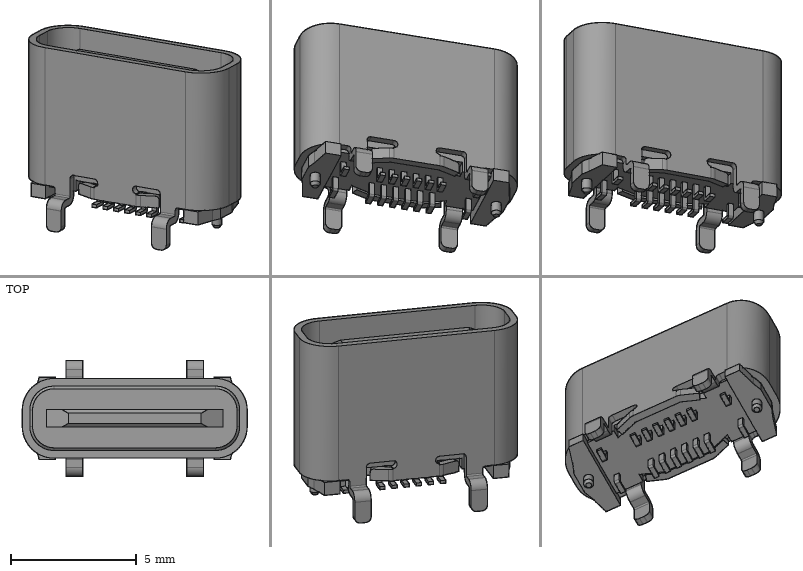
import cadquery as cq
import math


shell_length = 8.94
shell_width = 3.165
shell_top = 5.73
shell_corner_radius = 1.26
sheet = 0.3
inner_length = shell_length - 2 * sheet
inner_width = shell_width - 2 * sheet
inner_corner_radius = shell_corner_radius - sheet
outer_y = shell_width / 2
inner_y = inner_width / 2

leg_inner_x = 2.06
leg_outer_x = 2.74
leg_width = leg_outer_x - leg_inner_x
leg_span = 4.6
leg_tip_y = leg_span / 2
leg_tip_z = -1.62
leg_tip_radius = 0.24
leg_shelf_top = -0.35
leg_bend_inner = 0.05
leg_bend_outer = leg_bend_inner + sheet
leg_root_radius = 0.13

panel_half = 0.96
panel_bottom = -0.24
window_top = 0.61
window_radius = 0.16
window_bottom = window_top - 2 * window_radius
flap_top = 0.24
flap_end_x = 1.83
flap_angle = math.radians(20)
flap_bend_inner = 0.215
flap_bend_outer = flap_bend_inner + sheet
flap_corner_radius = 0.14

core_bottom = -0.15
core_top = 0.805
core_chamfer = 0.11
recess_end_x = 1.97
recess_top = 0.3

tongue_length = 6.99
tongue_width = 0.71
tongue_top = 5.26
tongue_end_run = 0.86
tongue_end_drop = 0.5
tongue_side_chamfer = 0.15

foot_bottom = -0.55
foot_inner_x = 3.16
foot_plan = [(foot_inner_x, 1.64), (3.8, 1.64), (4.02, 0.84), (4.17, 0.47)]
post_x = 3.75
post_diameter = 0.4
post_bottom = -1.1
post_chamfer_height = 0.13
post_chamfer_run = 0.09

contact_places = [0.25, 0.75, 1.25, 2.75]
contact_width = 0.215
contact_sheet = 0.13
contact_inner_y = 0.5
contact_tip_y = 1.06
contact_bottom = -0.78
contact_bend_radius = 0.08


def rounded_block(length, width, radius, bottom, top):
    """Upright prism with a rounded rectangular plan."""
    block = cq.Workplane("XY").workplane(offset=bottom).rect(length, width).extrude(top - bottom)
    return block.edges("|Z").fillet(radius)


def in_four_quarters(body):
    """The body and its mirror images in the XZ, YZ and both planes."""
    pair = [body, body.mirror("YZ")]
    return pair + [half.mirror("XZ") for half in pair]


def wall_prism(outline):
    """Extrude an XZ outline through the thickness of the -Y wall."""
    return outline.extrude(sheet).translate((0, -inner_y, 0))


def flap_point(radius, distance):
    """XY point of a bent flap at a bend radius and a distance along the flap past the bend."""
    x = panel_half + radius * math.sin(flap_angle) + distance * math.cos(flap_angle)
    y = -outer_y + flap_bend_outer - radius * math.cos(flap_angle) + distance * math.sin(flap_angle)
    return x, y


def flap_length(radius, end_x):
    """Straight length of a flap surface past its bend that ends at a given x."""
    return (end_x - flap_point(radius, 0)[0]) / math.cos(flap_angle)


def bend_middle(radius):
    """Mid-arc XY point of the flap bend."""
    half_angle = flap_angle / 2
    x = panel_half + radius * math.sin(half_angle)
    return x, -outer_y + flap_bend_outer - radius * math.cos(half_angle)


def make_flap():
    """Flap at the +X end of the -Y panel, with a rounded upper free corner."""
    length = flap_length(flap_bend_outer, flap_end_x)
    flap = (
        cq.Workplane("XY").workplane(offset=panel_bottom)
        .moveTo(panel_half, -outer_y)
        .threePointArc(bend_middle(flap_bend_outer), flap_point(flap_bend_outer, 0))
        .lineTo(*flap_point(flap_bend_outer, length))
        .lineTo(*flap_point(flap_bend_inner, length))
        .lineTo(*flap_point(flap_bend_inner, 0))
        .threePointArc(bend_middle(flap_bend_inner), (panel_half, -inner_y))
        .close()
        .extrude(flap_top - panel_bottom)
    )
    return flap.faces(">X").edges(">Z").fillet(flap_corner_radius)


def make_flap_recess():
    """Room in the housing core behind and beyond one flap."""
    length = flap_length(flap_bend_inner, recess_end_x)
    return (
        cq.Workplane("XY").workplane(offset=core_bottom)
        .moveTo(panel_half, -inner_y)
        .threePointArc(bend_middle(flap_bend_inner), flap_point(flap_bend_inner, 0))
        .lineTo(*flap_point(flap_bend_inner, length))
        .lineTo(recess_end_x, -outer_y)
        .lineTo(panel_half, -outer_y)
        .close()
        .extrude(recess_top - core_bottom)
    )


def make_window():
    """Opening in the -Y wall between a leg and the panel, with a round relief above the flap."""
    corner = window_radius * (1 - math.sqrt(0.5))
    outline = (
        cq.Workplane("XZ")
        .moveTo(leg_inner_x, 0)
        .lineTo(leg_inner_x, window_top - window_radius)
        .threePointArc((leg_inner_x - corner, window_top - corner), (leg_inner_x - window_radius, window_top))
        .lineTo(panel_half, window_top)
        .threePointArc((panel_half - window_radius, window_top - window_radius), (panel_half, window_bottom))
        .lineTo(panel_half, 0)
        .close()
    )
    return wall_prism(outline)


def make_leg():
    """Leg of the -Y wall: down, out along a shelf and down again, with a rounded tip."""
    shelf_bottom = leg_shelf_top - sheet
    root_z = leg_shelf_top + leg_bend_inner
    knee_z = shelf_bottom - leg_bend_inner
    leg_inner_face = leg_tip_y - sheet
    leg = (
        cq.Workplane("YZ").workplane(offset=leg_inner_x)
        .moveTo(-outer_y, 0)
        .lineTo(-outer_y, root_z)
        .tangentArcPoint((-outer_y - leg_bend_inner, leg_shelf_top), relative=False)
        .lineTo(-leg_tip_y + leg_bend_outer, leg_shelf_top)
        .tangentArcPoint((-leg_tip_y, knee_z), relative=False)
        .lineTo(-leg_tip_y, leg_tip_z)
        .lineTo(-leg_inner_face, leg_tip_z)
        .lineTo(-leg_inner_face, knee_z)
        .tangentArcPoint((-leg_inner_face + leg_bend_inner, shelf_bottom), relative=False)
        .lineTo(-inner_y - leg_bend_outer, shelf_bottom)
        .tangentArcPoint((-inner_y, root_z), relative=False)
        .lineTo(-inner_y, 0)
        .close()
        .extrude(leg_width)
    )
    return leg.faces("<Z").edges("|Y").fillet(leg_tip_radius)


def make_leg_root():
    """Concave rounding between the shell rim and the outer side of a leg."""
    corner = leg_root_radius * (1 - math.sqrt(0.5))
    outline = (
        cq.Workplane("XZ")
        .moveTo(leg_outer_x, 0)
        .lineTo(leg_outer_x + leg_root_radius, 0)
        .threePointArc((leg_outer_x + corner, -corner), (leg_outer_x, -leg_root_radius))
        .close()
    )
    return wall_prism(outline)


def make_panel():
    """Part of the -Y wall that hangs below the shell rim between the two flaps."""
    return wall_prism(cq.Workplane("XZ").rect(2 * panel_half, -2 * panel_bottom))


def make_shell():
    """Sheet metal shell with its legs, panels and flaps, as one body."""
    shell = rounded_block(shell_length, shell_width, shell_corner_radius, 0, shell_top)
    shell = shell.cut(rounded_block(inner_length, inner_width, inner_corner_radius, 0, shell_top))
    for window in in_four_quarters(make_window()):
        shell = shell.cut(window)
    for panel in (make_panel(), make_panel().mirror("XZ")):
        shell = shell.union(panel)
    for piece in (make_leg(), make_leg_root(), make_flap()):
        for copy in in_four_quarters(piece):
            shell = shell.union(copy)
    return shell


def make_core():
    """Block in the lower end of the shell, with a plate between the feet and a recess for each flap."""
    core = rounded_block(inner_length, inner_width, inner_corner_radius, 0, core_top)
    core = core.faces(">Z").chamfer(core_chamfer)
    plate = cq.Workplane("XY").rect(2 * foot_inner_x, inner_width).extrude(core_bottom)
    core = core.union(plate)
    for recess in in_four_quarters(make_flap_recess()):
        core = core.cut(recess)
    return core


def tapered_blade(plane, length, run, drop, depth):
    """Blade profile with both upper corners cut off, extruded both ways from a plane."""
    half = length / 2
    corners = [
        (-half, core_top),
        (half, core_top),
        (half, tongue_top - drop),
        (half - run, tongue_top),
        (-half + run, tongue_top),
        (-half, tongue_top - drop),
    ]
    return cq.Workplane(plane).polyline(corners).close().extrude(depth / 2, both=True)


def make_tongue():
    """Flat tongue, tapered at its ends and along its sides."""
    lengthwise = tapered_blade("XZ", tongue_length, tongue_end_run, tongue_end_drop, tongue_width)
    crosswise = tapered_blade("YZ", tongue_width, tongue_side_chamfer, tongue_side_chamfer, tongue_length)
    return lengthwise.intersect(crosswise)


def make_foot():
    """Faceted foot under the +X end of the shell, with its locating post."""
    outline = foot_plan + [(x, -y) for x, y in reversed(foot_plan)]
    foot = cq.Workplane("XY").polyline(outline).close().extrude(foot_bottom)
    post = (
        cq.Workplane("XY").workplane(offset=foot_bottom)
        .center(post_x, 0)
        .circle(post_diameter / 2)
        .extrude(post_bottom - foot_bottom)
        .faces("<Z")
        .chamfer(post_chamfer_height, post_chamfer_run)
    )
    return foot.union(post)


def make_contact(place):
    """Contact tail under the core on the -Y side, turned outwards at the bottom."""
    outer_face = contact_inner_y + contact_sheet
    foot_top = contact_bottom + contact_sheet
    return (
        cq.Workplane("YZ").workplane(offset=place - contact_width / 2)
        .moveTo(-contact_inner_y, core_bottom)
        .lineTo(-contact_inner_y, contact_bottom + contact_bend_radius)
        .tangentArcPoint((-contact_inner_y - contact_bend_radius, contact_bottom), relative=False)
        .lineTo(-contact_tip_y, contact_bottom)
        .lineTo(-contact_tip_y, foot_top)
        .lineTo(-outer_face, foot_top)
        .lineTo(-outer_face, core_bottom)
        .close()
        .extrude(contact_width)
    )


def make_housing():
    """Housing with its tongue, feet and contact tails, as one body."""
    housing = make_core().union(make_tongue())
    for foot in (make_foot(), make_foot().mirror("YZ")):
        housing = housing.union(foot)
    for place in contact_places:
        for contact in in_four_quarters(make_contact(place)):
            housing = housing.union(contact)
    return housing


shell = make_shell()
housing = make_housing()

result = cq.Compound.makeCompound([shell.solids().val(), housing.solids().val()])